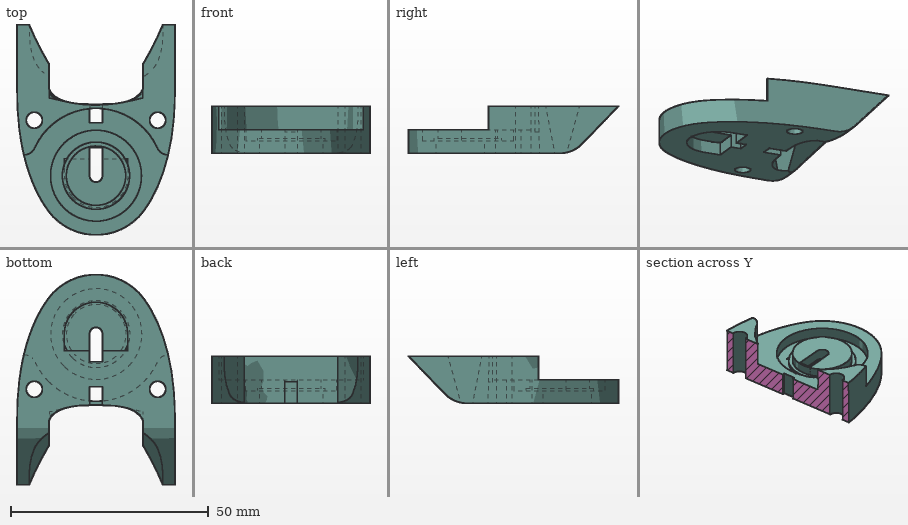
import cadquery as cq
import math

HALF_WIDTH = 20.0
TOTAL_HEIGHT = 11.99
NOSE_RADIUS = 15.0
TIP_Y = 38.16

NOSE_HALF_WIDTH = 12.06
FLANK_MID = (18.05, 4.46)
FLANK_END_Y = 23.6

BEVEL_ANGLE = 46.0
BEVEL_RADIUS = 8.0

LEDGE_Z = 6.0
LEDGE_RADIUS = 17.0
LEDGE_END_RADIUS = 3.0
LEDGE_END_Y = 5.23

POCKET_RADIUS = 11.5
POCKET_FLOOR_Z = 3.2
COLLAR_RADIUS = 8.5
COLLAR_TOP_Z = 3.8
POST_RADIUS = 7.5

SLOT_WIDTH = 3.2
SLOT_END_Y = 7.0
WINDOW_START_Y = 13.4
CHANNEL_HEIGHT = 5.5
RECESS_WIDTH = 16.0
RECESS_END_Y = 4.25

SIDE_HOLE_DIAMETER = 4.0
SIDE_HOLE_X = 15.58
SIDE_HOLE_Y = 14.0

CAVITY_HALF_WIDTH = 11.85
CAVITY_FRONT_TOP_Y = 17.8
CAVITY_FRONT_BOTTOM_Y = 18.1
CAVITY_CORNER_TOP_Y = 19.66
CAVITY_CORNER_BOTTOM_Y = 22.0
CAVITY_TOP_SHOULDERS = [(8.1, 18.75)]
CAVITY_BOTTOM_SHOULDERS = [(8.1, 18.85), (11.13, 20.75)]
FLARE_START_TOP_Y = 28.2
FLARE_START_BOTTOM_Y = 24.9
FLARE_TOP_MID = (14.5, 33.0)
FLARE_BOTTOM_MID = (17.5, 30.0)
FLARE_TOP_END_X = 16.86
FLARE_BOTTOM_END_X = 21.5


def mirrored(point):
    return (-point[0], point[1])


def plane_at(z):
    return cq.Workplane("XY").workplane(offset=z)


def cylinder(radius, bottom_z, top_z):
    return plane_at(bottom_z).circle(radius).extrude(top_z - bottom_z)


def block(width, start_y, end_y, bottom_z, top_z):
    middle_y = (start_y + end_y) / 2
    outline = plane_at(bottom_z).center(0, middle_y).rect(width, end_y - start_y)
    return outline.extrude(top_z - bottom_z)


def round_ended_cut(width, end_y, top_z):
    """A cut up from the underside, half-round about the post axis and square at end_y."""
    radius = width / 2
    return (
        cq.Workplane("XY")
        .moveTo(-radius, 0)
        .threePointArc((0, -radius), (radius, 0))
        .lineTo(radius, end_y)
        .lineTo(-radius, end_y)
        .close()
        .extrude(top_z)
    )


def plan_body():
    nose_y = -math.sqrt(NOSE_RADIUS**2 - NOSE_HALF_WIDTH**2)
    nose_end = (NOSE_HALF_WIDTH, nose_y)
    nose_tangent = (-nose_y, NOSE_HALF_WIDTH)
    flank_end = (HALF_WIDTH, FLANK_END_Y)
    return (
        cq.Workplane("XY")
        .moveTo(*mirrored(nose_end))
        .threePointArc((0, -NOSE_RADIUS), nose_end)
        .spline([FLANK_MID, flank_end], tangents=[nose_tangent, (0, 1)], includeCurrent=True)
        .lineTo(HALF_WIDTH, TIP_Y)
        .lineTo(-HALF_WIDTH, TIP_Y)
        .lineTo(*mirrored(flank_end))
        .spline(
            [mirrored(FLANK_MID), mirrored(nose_end)],
            tangents=[(0, -1), (nose_tangent[0], -nose_tangent[1])],
            includeCurrent=True,
        )
        .close()
        .extrude(TOTAL_HEIGHT)
    )


def bevel_cut():
    """Wedge below the prongs, in the YZ plane, swept across the whole width."""
    angle = math.radians(BEVEL_ANGLE)
    corner_y = TIP_Y - TOTAL_HEIGHT / math.tan(angle)
    start_y = corner_y - BEVEL_RADIUS * math.tan(angle / 2)

    def on_round(turn):
        return (start_y + BEVEL_RADIUS * math.sin(turn), BEVEL_RADIUS * (1 - math.cos(turn)))

    return (
        cq.Workplane("YZ")
        .moveTo(start_y, 0)
        .threePointArc(on_round(angle / 2), on_round(angle))
        .lineTo(TIP_Y, TOTAL_HEIGHT)
        .lineTo(TIP_Y, 0)
        .close()
        .extrude(HALF_WIDTH, both=True)
    )


def ledge_cut():
    """Everything above the ledge in front of its rear wall."""
    round_y = LEDGE_END_Y + LEDGE_END_RADIUS
    centre_distance = LEDGE_RADIUS + LEDGE_END_RADIUS
    round_x = math.sqrt(centre_distance**2 - round_y**2)
    joint = (
        round_x * LEDGE_RADIUS / centre_distance,
        round_y * LEDGE_RADIUS / centre_distance,
    )
    joint_angle = math.atan2(-joint[1], -joint[0])
    middle_angle = (joint_angle - math.pi / 2) / 2
    round_middle = (
        round_x + LEDGE_END_RADIUS * math.cos(middle_angle),
        round_y + LEDGE_END_RADIUS * math.sin(middle_angle),
    )
    round_end = (round_x, LEDGE_END_Y)
    return (
        plane_at(LEDGE_Z)
        .moveTo(-HALF_WIDTH, -NOSE_RADIUS)
        .lineTo(HALF_WIDTH, -NOSE_RADIUS)
        .lineTo(HALF_WIDTH, LEDGE_END_Y)
        .lineTo(*round_end)
        .threePointArc(round_middle, joint)
        .threePointArc((0, LEDGE_RADIUS), mirrored(joint))
        .threePointArc(mirrored(round_middle), mirrored(round_end))
        .lineTo(-HALF_WIDTH, LEDGE_END_Y)
        .close()
        .extrude(TOTAL_HEIGHT - LEDGE_Z)
    )


def cavity_profile(plane, front_y, shoulders, corner_y, flare_start_y, flare_mid, flare_end_x):
    """Closed outline: curved front, straight sides and flared rear ends closed at the prong tips."""
    right_points = shoulders + [(CAVITY_HALF_WIDTH, corner_y)]
    left_points = [mirrored(point) for point in reversed(right_points)]
    flare_start = (CAVITY_HALF_WIDTH, flare_start_y)
    flare_end = (flare_end_x, TIP_Y)
    return (
        plane.spline(left_points + [(0, front_y)] + right_points)
        .lineTo(*flare_start)
        .threePointArc(flare_mid, flare_end)
        .lineTo(*mirrored(flare_end))
        .threePointArc(mirrored(flare_mid), mirrored(flare_start))
        .close()
    )


def cavity_cut():
    """Rear cavity, ruled between its bottom and top profiles."""
    bottom = cavity_profile(
        cq.Workplane("XY"),
        CAVITY_FRONT_BOTTOM_Y,
        CAVITY_BOTTOM_SHOULDERS,
        CAVITY_CORNER_BOTTOM_Y,
        FLARE_START_BOTTOM_Y,
        FLARE_BOTTOM_MID,
        FLARE_BOTTOM_END_X,
    )
    both = cavity_profile(
        bottom.workplane(offset=TOTAL_HEIGHT),
        CAVITY_FRONT_TOP_Y,
        CAVITY_TOP_SHOULDERS,
        CAVITY_CORNER_TOP_Y,
        FLARE_START_TOP_Y,
        FLARE_TOP_MID,
        FLARE_TOP_END_X,
    )
    return both.loft(ruled=True)


def stepped_post():
    collar = cylinder(COLLAR_RADIUS, POCKET_FLOOR_Z, COLLAR_TOP_Z)
    return collar.union(cylinder(POST_RADIUS, POCKET_FLOOR_Z, LEDGE_Z))


def side_holes():
    places = [(side * SIDE_HOLE_X, SIDE_HOLE_Y) for side in (-1, 1)]
    holes = cq.Workplane("XY").pushPoints(places).circle(SIDE_HOLE_DIAMETER / 2)
    return holes.extrude(TOTAL_HEIGHT)


body = plan_body().cut(bevel_cut()).cut(ledge_cut()).cut(cavity_cut()).cut(side_holes())
body = body.cut(cylinder(POCKET_RADIUS, POCKET_FLOOR_Z, LEDGE_Z)).union(stepped_post())
body = body.cut(round_ended_cut(RECESS_WIDTH, RECESS_END_Y, POCKET_FLOOR_Z))
body = body.cut(round_ended_cut(SLOT_WIDTH, SLOT_END_Y, LEDGE_Z))
body = body.cut(block(SLOT_WIDTH, WINDOW_START_Y, LEDGE_RADIUS, 0, LEDGE_Z))
result = body.cut(block(SLOT_WIDTH, LEDGE_RADIUS, CAVITY_CORNER_TOP_Y, 0, CHANNEL_HEIGHT))